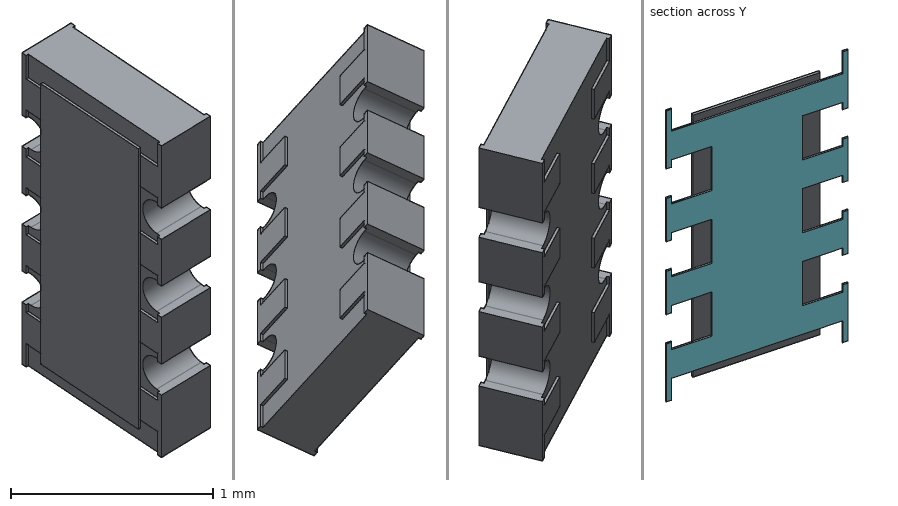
import cadquery as cq


width = 1.0
depth = 0.35
height = 2.0

coat_thickness = 0.015
front_pad_thickness = 0.015
back_pad_thickness = 0.015

coat_width = 0.7
coat_height = 1.8

terminal_count = 4
pitch = 0.5
cap_thickness = 0.03
pad_height = 0.2
pad_reach = 0.25

notch_radius = 0.1
notch_depth = 0.15

coat_front = -depth / 2
pad_front = coat_front + coat_thickness
ceramic_front = pad_front + front_pad_thickness
pad_back = depth / 2
ceramic_back = pad_back - back_pad_thickness

ceramic_half_width = width / 2 - cap_thickness
first_terminal_z = -pitch * (terminal_count - 1) / 2


def block(x_range, y_range, z_range):
    """Box spanning the given (low, high) limits on each axis."""
    x_low, x_high = x_range
    y_low, y_high = y_range
    z_low, z_high = z_range
    size = (x_high - x_low, y_high - y_low, z_high - z_low)
    return cq.Workplane("XY").box(*size, centered=False).translate((x_low, y_low, z_low))


def ceramic_body():
    return block(
        (-ceramic_half_width, ceramic_half_width),
        (ceramic_front, ceramic_back),
        (-height / 2, height / 2),
    )


def right_side_cap():
    """Cap along the whole +X side, reaching the outer faces of the pads."""
    return block(
        (ceramic_half_width, width / 2),
        (pad_front, pad_back),
        (-height / 2, height / 2),
    )


def right_pads(z):
    """Front and back pads of the +X terminal centred at height z."""
    x_range = (width / 2 - pad_reach, width / 2)
    z_range = (z - pad_height / 2, z + pad_height / 2)
    front_pad = block(x_range, (pad_front, ceramic_front), z_range)
    back_pad = block(x_range, (ceramic_back, pad_back), z_range)
    return front_pad.union(back_pad)


def resistive_layer():
    """Layer between the rows of front pads, flush with the outermost pad edges."""
    half_width = width / 2 - pad_reach
    half_height = pad_height / 2 - first_terminal_z
    return block(
        (-half_width, half_width),
        (pad_front, ceramic_front),
        (-half_height, half_height),
    )


def right_notch(z):
    """Cutter for the notch in the +X side centred at height z."""
    centre_x = width / 2 - notch_depth + notch_radius
    return (
        cq.Workplane("XZ", origin=(0, depth / 2, 0))
        .moveTo(width / 2, z + notch_radius)
        .lineTo(centre_x, z + notch_radius)
        .threePointArc((centre_x - notch_radius, z), (centre_x, z - notch_radius))
        .lineTo(width / 2, z - notch_radius)
        .close()
        .extrude(depth)
    )


def protective_coat():
    return block(
        (-coat_width / 2, coat_width / 2),
        (coat_front, pad_front),
        (-coat_height / 2, coat_height / 2),
    )


right_terminals = right_side_cap()
for index in range(terminal_count):
    terminal_z = first_terminal_z + index * pitch
    right_terminals = right_terminals.union(right_pads(terminal_z))

right_notches = cq.Workplane("XY")
for index in range(terminal_count - 1):
    notch_z = first_terminal_z + (index + 0.5) * pitch
    right_notches = right_notches.add(right_notch(notch_z))
right_notches = right_notches.combine()

result = ceramic_body().union(right_terminals).union(right_terminals.mirror("YZ"))
result = result.cut(right_notches).cut(right_notches.mirror("YZ"))
result = result.union(resistive_layer()).union(protective_coat())